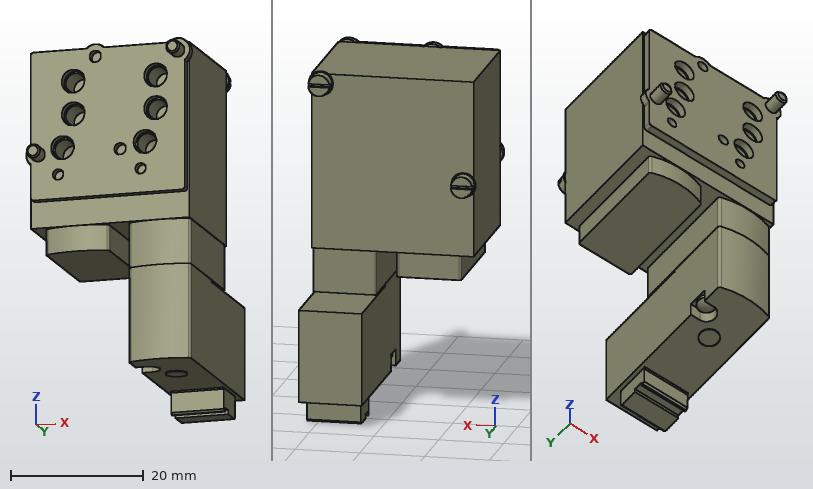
import cadquery as cq
import math


BLOCK_WIDTH = 24.95
BLOCK_DEPTH = 19.05
BLOCK_HEIGHT = 27.25
BLOCK_LEFT = -12.55
BLOCK_FRONT = -12.25
BLOCK_BOTTOM = -1.2
BLOCK_BACK = BLOCK_FRONT + BLOCK_DEPTH

PLATE_THICKNESS = 1.2
PLATE_LEFT = -12.2
PLATE_RIGHT = 12.1
PLATE_BOTTOM = 2.85
PLATE_TOP = 25.85
PLATE_CORNER_RADIUS = 0.5
LOBE_RADIUS = 1.9
LOBE_BLEND_RADIUS = 0.3
PLATE_FRONT = BLOCK_FRONT - PLATE_THICKNESS

SCREW_POINTS = [(11.0, 24.55), (-11.0, 9.9)]
LOCATING_POINTS = [(-2.0, 24.55), (1.9, 9.9)]
PORT_COLUMN_SPACING = 13.0
FLAT_PORT_LEFT_X = -5.5
FLAT_PORT_ROWS = [20.95, 15.85]
DRILLED_PORT_LEFT_X = -7.2
DRILLED_PORT_Z = 10.75
PILOT_LEFT_X = -7.9
PILOT_Z = 6.6

LOCATING_DIAMETER = 1.8
PILOT_DIAMETER = 1.65
PORT_SEAT_DIAMETER = 3.6
PORT_BORE_DIAMETER = 3.05
PORT_BORE_DEPTH = 4.25
DRILL_TIP_ANGLE = 118.0

SHANK_DIAMETER = 2.1
SHANK_TIP_CHAMFER = 0.25
SHANK_TIP_Y = -16.3
HEAD_TOP_DIAMETER = 3.3
HEAD_BASE_DIAMETER = 3.5
HEAD_HEIGHT = 1.65
COLLAR_DIAMETER = 3.75
COLLAR_THICKNESS = 0.05
SCREW_SLOT_WIDTH = 0.5
SCREW_SLOT_DEPTH = 0.7

COIL_FRONT = -12.2
COIL_BACK = 6.2
LEFT_COIL_CENTER_X = -5.5
LEFT_COIL_WIDTH = 9.95
LEFT_COIL_BOTTOM = -5.2
LEFT_COIL_BULGE = 0.95
LEFT_COIL_BACK_RADIUS = 0.35
RIGHT_COIL_WIDTH = 9.75
RIGHT_COIL_CENTER_X = LEFT_COIL_CENTER_X + PORT_COLUMN_SPACING
RIGHT_COIL_BOTTOM = -8.2
RIGHT_COIL_BULGE = 0.8
RIGHT_COIL_BACK_RADIUS = 0.2
FRONT_CORNER_RADIUS = 0.5

PLUG_BACK = 16.3
PLUG_BOTTOM = -22.85
PLUG_CLEARANCE = 0.3
PLUG_CLEARANCE_FRONT = -0.5
NOTCH_HEIGHT = 2.55
NOTCH_WIDTH = 3.35
NOTCH_CENTER_Y = -6.25
NOTCH_REACH = 1.65

FIXING_SCREW_DIAMETER = 3.3
FIXING_SCREW_Y = -2.8
FIXING_SCREW_PROTRUSION = 0.15
FIXING_SCREW_LENGTH = 2.1
NOTCH_SCREW_DIAMETER = 3.0
NOTCH_SCREW_RIM_HEIGHT = 0.65
NOTCH_SCREW_DOME_HEIGHT = 0.5

CLIP_WIDTH = 8.3
CLIP_FRONT = 7.9
CLIP_BACK = 13.65
CLIP_BOTTOM = -26.45
CLIP_CHAMFER = 0.3
CLIP_ROOT_FLARE = 0.2
CLIP_SLOT_FRONT = 8.5
CLIP_SLOT_WIDTH = 1.6
CLIP_SLOT_DEPTH = 0.65


def cylinder_along_y(point, diameter, y_start, y_end):
    """Cylinder at an (X, Z) point, parallel to Y."""
    x, z = point
    return cq.Workplane(cq.Solid.makeCylinder(
        diameter / 2, y_end - y_start, cq.Vector(x, y_start, z), cq.Vector(0, 1, 0)))


def cylinder_along_z(x, y, diameter, z_start, z_end):
    """Cylinder at an (X, Y) point, parallel to Z."""
    return cq.Workplane(cq.Solid.makeCylinder(
        diameter / 2, z_end - z_start, cq.Vector(x, y, z_start), cq.Vector(0, 0, 1)))


def box_between(x_range, y_range, z_range):
    """Axis-aligned box given by its limits."""
    sizes = [high - low for low, high in (x_range, y_range, z_range)]
    corner = (x_range[0], y_range[0], z_range[0])
    return cq.Workplane().box(*sizes, centered=False).translate(corner)


def column_pair(left_x, z):
    """The same hole position in the left and the right port column."""
    return [(left_x, z), (left_x + PORT_COLUMN_SPACING, z)]


FLAT_PORTS = [point for z in FLAT_PORT_ROWS for point in column_pair(FLAT_PORT_LEFT_X, z)]
DRILLED_PORTS = column_pair(DRILLED_PORT_LEFT_X, DRILLED_PORT_Z)
PILOT_POINTS = column_pair(PILOT_LEFT_X, PILOT_Z)


def make_block():
    block = box_between(
        (BLOCK_LEFT, BLOCK_LEFT + BLOCK_WIDTH),
        (BLOCK_FRONT, BLOCK_BACK),
        (BLOCK_BOTTOM, BLOCK_BOTTOM + BLOCK_HEIGHT))
    for point in SCREW_POINTS:
        block = block.cut(cylinder_along_y(point, SHANK_DIAMETER, BLOCK_FRONT, BLOCK_BACK))
    bore_end = BLOCK_FRONT + PORT_BORE_DEPTH
    for point in FLAT_PORTS + DRILLED_PORTS:
        block = block.cut(cylinder_along_y(point, PORT_BORE_DIAMETER, BLOCK_FRONT, bore_end))
    radius = PORT_BORE_DIAMETER / 2
    tip_length = radius / math.tan(math.radians(DRILL_TIP_ANGLE / 2))
    for x, z in DRILLED_PORTS:
        tip = cq.Solid.makeCone(
            radius, 0, tip_length, cq.Vector(x, bore_end, z), cq.Vector(0, 1, 0))
        block = block.cut(cq.Workplane(tip))
    return block


def make_plate():
    y_range = (PLATE_FRONT, BLOCK_FRONT)
    plate = box_between((PLATE_LEFT, PLATE_RIGHT), y_range, (PLATE_BOTTOM, PLATE_TOP))
    plate = plate.edges("|Y").edges("<Z or (>Z and <X)").fillet(PLATE_CORNER_RADIUS)
    for point in SCREW_POINTS + LOCATING_POINTS[:1]:
        plate = plate.union(cylinder_along_y(point, 2 * LOBE_RADIUS, *y_range))
    plate = blend_lobes(plate)

    through_holes = (
        [(point, SHANK_DIAMETER) for point in SCREW_POINTS]
        + [(point, LOCATING_DIAMETER) for point in LOCATING_POINTS]
        + [(point, PILOT_DIAMETER) for point in PILOT_POINTS]
        + [(point, PORT_SEAT_DIAMETER) for point in FLAT_PORTS + DRILLED_PORTS])
    for point, diameter in through_holes:
        plate = plate.cut(cylinder_along_y(point, diameter, *y_range))
    return plate


def blend_lobes(plate):
    """Round the inside corners where the lobes leave the straight edges of the plate."""
    left_lobe_x, left_lobe_z = SCREW_POINTS[1]
    corner_lobe_x, corner_lobe_z = SCREW_POINTS[0]
    top_lobe_x = LOCATING_POINTS[0][0]
    left_half = math.sqrt(LOBE_RADIUS**2 - (left_lobe_x - PLATE_LEFT)**2)
    right_half = math.sqrt(LOBE_RADIUS**2 - (PLATE_RIGHT - corner_lobe_x)**2)
    top_half = math.sqrt(LOBE_RADIUS**2 - (PLATE_TOP - corner_lobe_z)**2)
    corners = [
        (PLATE_LEFT, left_lobe_z - left_half),
        (PLATE_LEFT, left_lobe_z + left_half),
        (PLATE_RIGHT, corner_lobe_z - right_half),
        (corner_lobe_x - top_half, PLATE_TOP),
        (top_lobe_x - top_half, PLATE_TOP),
        (top_lobe_x + top_half, PLATE_TOP)]
    middle_y = (PLATE_FRONT + BLOCK_FRONT) / 2
    for x, z in corners:
        corner_edge = cq.selectors.NearestToPointSelector((x, middle_y, z))
        plate = plate.edges("|Y").edges(corner_edge).fillet(LOBE_BLEND_RADIUS)
    return plate


def make_mounting_screw(point):
    """Slotted screw whose head rests on the back of the block."""
    shank_radius = SHANK_DIAMETER / 2
    head_top = BLOCK_BACK + HEAD_HEIGHT
    half_profile = [
        (0, SHANK_TIP_Y),
        (shank_radius - SHANK_TIP_CHAMFER, SHANK_TIP_Y),
        (shank_radius, SHANK_TIP_Y + SHANK_TIP_CHAMFER),
        (shank_radius, BLOCK_BACK),
        (COLLAR_DIAMETER / 2, BLOCK_BACK),
        (COLLAR_DIAMETER / 2, BLOCK_BACK + COLLAR_THICKNESS),
        (HEAD_BASE_DIAMETER / 2, BLOCK_BACK + COLLAR_THICKNESS),
        (HEAD_TOP_DIAMETER / 2, head_top),
        (0, head_top)]
    screw = cq.Workplane("XY").polyline(half_profile).close().revolve(360, (0, 0), (0, 1))
    slot = box_between(
        (-COLLAR_DIAMETER / 2, COLLAR_DIAMETER / 2),
        (head_top - SCREW_SLOT_DEPTH, head_top),
        (-SCREW_SLOT_WIDTH / 2, SCREW_SLOT_WIDTH / 2))
    x, z = point
    return screw.cut(slot).translate((x, 0, z))


def bulged_prism(center_x, width, back, bulge, z_bottom, z_top):
    """Upright prism with a bowed front and rounded front corners."""
    half_width = width / 2
    shoulder = COIL_FRONT + bulge
    prism = (
        cq.Workplane("XY", origin=(center_x, 0, z_bottom))
        .moveTo(-half_width, back)
        .lineTo(-half_width, shoulder)
        .threePointArc((0, COIL_FRONT), (half_width, shoulder))
        .lineTo(half_width, back)
        .close()
        .extrude(z_top - z_bottom))
    return prism.edges("|Z").edges("<Y").fillet(FRONT_CORNER_RADIUS)


def make_left_coil():
    coil = bulged_prism(
        LEFT_COIL_CENTER_X, LEFT_COIL_WIDTH, COIL_BACK, LEFT_COIL_BULGE,
        LEFT_COIL_BOTTOM, BLOCK_BOTTOM)
    return coil.edges("|Z").edges(">Y").fillet(LEFT_COIL_BACK_RADIUS)


def make_right_coil():
    coil = bulged_prism(
        RIGHT_COIL_CENTER_X, RIGHT_COIL_WIDTH, COIL_BACK, RIGHT_COIL_BULGE,
        RIGHT_COIL_BOTTOM, BLOCK_BOTTOM)
    return coil.edges("|Z").edges(">Y").fillet(RIGHT_COIL_BACK_RADIUS)


def make_plug(fixing_screw):
    """Connector housing with a stepped top, a side notch and a seat for the fixing screw."""
    plug = bulged_prism(
        RIGHT_COIL_CENTER_X, RIGHT_COIL_WIDTH, PLUG_BACK, RIGHT_COIL_BULGE,
        PLUG_BOTTOM, RIGHT_COIL_BOTTOM)
    left = RIGHT_COIL_CENTER_X - RIGHT_COIL_WIDTH / 2
    clearance = box_between(
        (left, left + RIGHT_COIL_WIDTH),
        (PLUG_CLEARANCE_FRONT, PLUG_BACK),
        (RIGHT_COIL_BOTTOM - PLUG_CLEARANCE, RIGHT_COIL_BOTTOM))
    notch_top = PLUG_BOTTOM + NOTCH_HEIGHT
    half_notch = NOTCH_WIDTH / 2
    notch = box_between(
        (left, left + NOTCH_REACH),
        (NOTCH_CENTER_Y - half_notch, NOTCH_CENTER_Y + half_notch),
        (PLUG_BOTTOM, notch_top))
    notch_end = cylinder_along_z(
        left + NOTCH_REACH, NOTCH_CENTER_Y, NOTCH_WIDTH, PLUG_BOTTOM, notch_top)
    return plug.cut(clearance).cut(notch).cut(notch_end).cut(fixing_screw)


def make_fixing_screw():
    """Central fixing screw, just proud of the underside of the plug."""
    bottom = PLUG_BOTTOM - FIXING_SCREW_PROTRUSION
    return cylinder_along_z(
        RIGHT_COIL_CENTER_X, FIXING_SCREW_Y, FIXING_SCREW_DIAMETER,
        bottom, bottom + FIXING_SCREW_LENGTH)


def make_notch_screw():
    """Round screw head under the roof of the notch, domed on its underside."""
    radius = NOTCH_SCREW_DIAMETER / 2
    head_x = RIGHT_COIL_CENTER_X - RIGHT_COIL_WIDTH / 2 + NOTCH_REACH
    dome_radius = (radius**2 + NOTCH_SCREW_DOME_HEIGHT**2) / (2 * NOTCH_SCREW_DOME_HEIGHT)
    dome_bottom = -NOTCH_SCREW_RIM_HEIGHT - NOTCH_SCREW_DOME_HEIGHT
    dome_middle_drop = dome_radius - math.sqrt(dome_radius**2 - (radius / 2)**2)
    return (
        cq.Workplane("XZ")
        .lineTo(radius, 0)
        .lineTo(radius, -NOTCH_SCREW_RIM_HEIGHT)
        .threePointArc((radius / 2, dome_bottom + dome_middle_drop), (0, dome_bottom))
        .close()
        .revolve(360, (0, 0), (0, 1))
        .translate((head_x, NOTCH_CENTER_Y, PLUG_BOTTOM + NOTCH_HEIGHT)))


def make_clip():
    """Slotted block under the rear of the plug, flared at its root on the front side."""
    slot_top = CLIP_BOTTOM + CLIP_SLOT_DEPTH
    slot_back = CLIP_SLOT_FRONT + CLIP_SLOT_WIDTH
    outline = [
        (CLIP_BACK, PLUG_BOTTOM),
        (CLIP_BACK, CLIP_BOTTOM + CLIP_CHAMFER),
        (CLIP_BACK - CLIP_CHAMFER, CLIP_BOTTOM),
        (slot_back, CLIP_BOTTOM),
        (slot_back, slot_top),
        (CLIP_SLOT_FRONT, slot_top),
        (CLIP_SLOT_FRONT, CLIP_BOTTOM),
        (CLIP_FRONT + CLIP_CHAMFER, CLIP_BOTTOM),
        (CLIP_FRONT, CLIP_BOTTOM + CLIP_CHAMFER),
        (CLIP_FRONT, PLUG_BOTTOM - CLIP_ROOT_FLARE),
        (CLIP_FRONT - CLIP_ROOT_FLARE, PLUG_BOTTOM)]
    left = RIGHT_COIL_CENTER_X - CLIP_WIDTH / 2
    return cq.Workplane("YZ", origin=(left, 0, 0)).polyline(outline).close().extrude(CLIP_WIDTH)


block = make_block()
plate = make_plate()
mounting_screws = [make_mounting_screw(point) for point in SCREW_POINTS]
left_coil = make_left_coil()
right_coil = make_right_coil()
fixing_screw = make_fixing_screw()
notch_screw = make_notch_screw()
plug = make_plug(fixing_screw)
clip = make_clip()

result = cq.Compound.makeCompound([
    block.val(),
    plate.val(),
    *[screw.val() for screw in mounting_screws],
    left_coil.val(),
    right_coil.val(),
    plug.val(),
    fixing_screw.val(),
    notch_screw.val(),
    clip.val(),
])